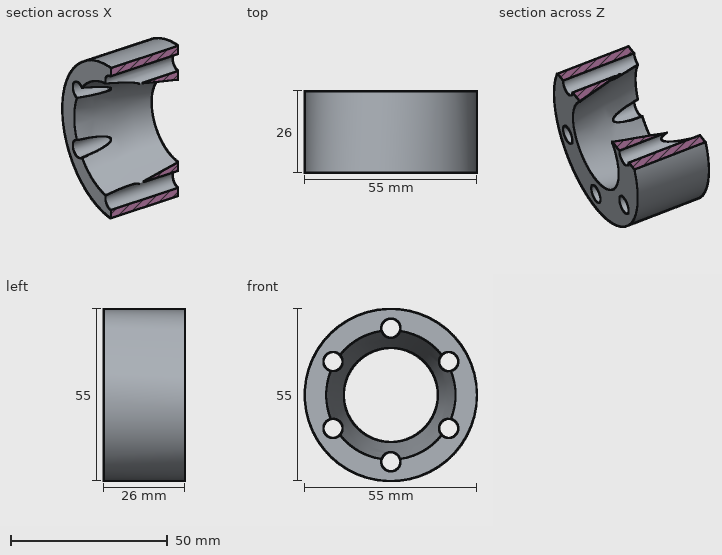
import cadquery as cq

outer_diameter = 55
length = 26.0

mouth_diameter = 41.25
throat_diameter = 29.9

hole_count = 6
hole_diameter = 6.05
hole_circle_radius = 21.3
first_hole_angle = 90

front_y = -length / 2
back_y = length / 2


def make_ring():
    """Revolve the wall section around the Y axis."""
    return (
        cq.Workplane("XY")
        .moveTo(mouth_diameter / 2, front_y)
        .lineTo(outer_diameter / 2, front_y)
        .lineTo(outer_diameter / 2, back_y)
        .lineTo(throat_diameter / 2, back_y)
        .close()
        .revolve(360, (0, 0, 0), (0, 1, 0))
    )


def make_holes():
    """Evenly spaced cylinders through the whole length."""
    return (
        cq.Workplane("XZ", origin=(0, back_y, 0))
        .polarArray(hole_circle_radius, first_hole_angle, 360, hole_count)
        .circle(hole_diameter / 2)
        .extrude(length)
    )


result = make_ring().cut(make_holes())